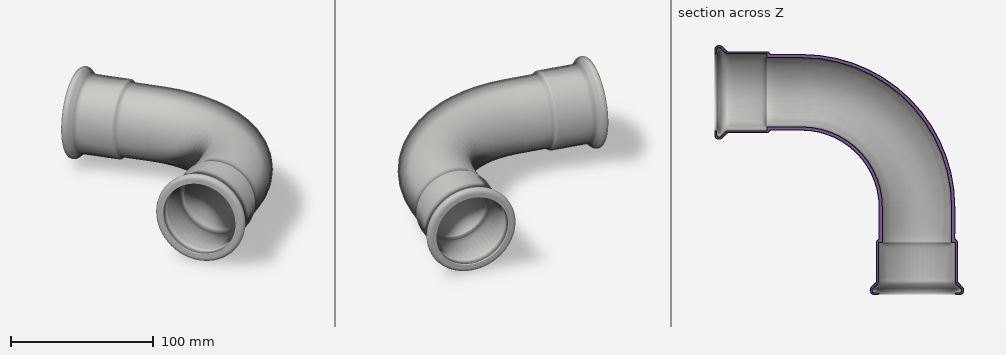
import cadquery as cq
import math

overall_length = 175.0
rim_diameter = 66.0
leg_length = 61.2
axis_reach = overall_length - rim_diameter / 2
bend_radius = axis_reach - leg_length

tube_radius = 53.4 / 2
tube_bore_radius = 24.2
socket_radius = 57.0 / 2
socket_bore_radius = 27.0
rim_radius = rim_diameter / 2

socket_start = 9.8
shoulder_start = 36.5

wall = socket_radius - socket_bore_radius
nose_round = 3.2
blend_round = 2.1
nose_center_radius = rim_radius - nose_round

sin_45 = math.sqrt(0.5)
arc_drop = 1 - sin_45


def add_nose(profile, round_size):
    """Continue a profile over the rim crest until it meets the cone slope."""
    crest = (nose_round, nose_center_radius + round_size)
    cone_start = (nose_round + round_size * sin_45, nose_center_radius + round_size * sin_45)
    return profile.threePointArc(crest, cone_start)


def add_cone_and_blend(profile, radius, round_size):
    """Continue a profile down the rim cone and round it into the given radius."""
    return profile.lineTo(
        socket_start - round_size * sin_45, radius + round_size * arc_drop
    ).radiusArc((socket_start, radius), -round_size)


def make_leg_body():
    """Solid leg along +X with its open end at the origin."""
    slope_start = shoulder_start + blend_round * sin_45
    slope_height = socket_radius - tube_radius - 2 * blend_round * arc_drop
    slope_end = slope_start + slope_height
    tube_start = slope_end + blend_round * sin_45
    profile = (
        cq.Workplane("XY")
        .lineTo(0, nose_center_radius)
    )
    profile = add_nose(profile, nose_round)
    profile = (
        add_cone_and_blend(profile, socket_radius, blend_round)
        .lineTo(shoulder_start, socket_radius)
        .radiusArc((slope_start, socket_radius - blend_round * arc_drop), blend_round)
        .lineTo(slope_end, tube_radius + blend_round * arc_drop)
        .radiusArc((tube_start, tube_radius), -blend_round)
        .lineTo(leg_length, tube_radius)
        .lineTo(leg_length, 0)
        .close()
    )
    return profile.revolve(360, (0, 0, 0), (1, 0, 0))


def make_leg_bore():
    """Stepped bore of a leg; its sealing groove follows the rim one wall inside."""
    profile = (
        cq.Workplane("XY")
        .lineTo(0, socket_bore_radius)
        .lineTo(wall, socket_bore_radius)
        .lineTo(wall, nose_center_radius)
    )
    profile = add_nose(profile, nose_round - wall)
    profile = (
        add_cone_and_blend(profile, socket_bore_radius, blend_round + wall)
        .lineTo(shoulder_start, socket_bore_radius)
        .lineTo(shoulder_start, tube_bore_radius)
        .lineTo(leg_length, tube_bore_radius)
        .lineTo(leg_length, 0)
        .close()
    )
    return profile.revolve(360, (0, 0, 0), (1, 0, 0))


def make_bend(radius):
    """Quarter torus joining the ends of the two legs."""
    return (
        cq.Workplane("YZ", origin=(leg_length, axis_reach, 0))
        .circle(radius)
        .revolve(90, (-bend_radius, 1.8, 0), (-bend_radius, 0, 0))
    )


def join_run(leg, bend):
    """Place a leg at each end of the bend and unite them."""
    x_leg = leg.translate((0, axis_reach, 0))
    y_leg = leg.rotate((0, 0, 0), (0, 0, 1), 90).translate((axis_reach, 0, 0))
    return bend.union(x_leg).union(y_leg)


body = join_run(make_leg_body(), make_bend(tube_radius))
bore = join_run(make_leg_bore(), make_bend(tube_bore_radius))
result = body.cut(bore)